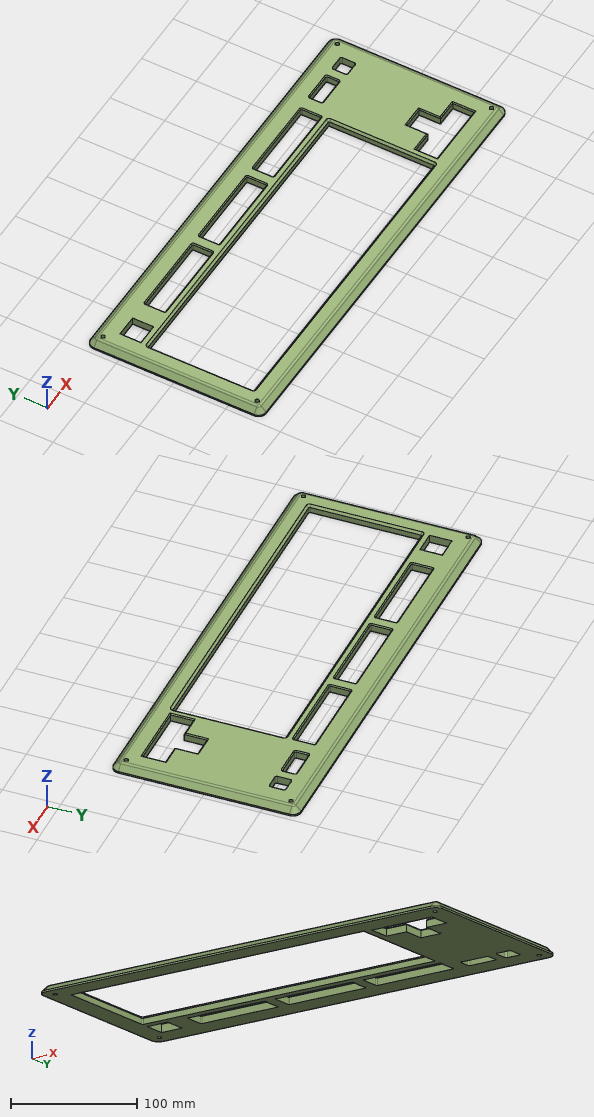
import cadquery as cq

LENGTH = 390.5
WIDTH = 160.5
THICKNESS = 7.0
RIM_HEIGHT = 1.5
CORNER_RADIUS = 7.0
TOP_EDGE_RADIUS = 3.0
SLOPE = THICKNESS - RIM_HEIGHT

SCREW_DIAMETER = 3.4
SCREW_INSET = 9.8

KEYS_LEFT = -176.0
MAIN_COLUMNS = 15
MAIN_ROWS = 5
MAIN_LENGTH = 285.8
KEY = MAIN_LENGTH / MAIN_COLUMNS
MAIN_EXTRA_HEIGHT = 1.0
MAIN_CENTER_Y = -13.5
OPENING_CORNER_RADIUS = 0.8
FUNCTION_ROW_Y = 50.8
ESCAPE_SIZE = (20.0, 19.0)
FUNCTION_GROUP_TRIM = 0.8
FUNCTION_GROUP_KEYS = 4
FUNCTION_GROUP_STARTS = (2, 6.5, 11)
ARROW_KEY = 19.5
ARROW_CENTER_X = 146.0
ARROW_BOTTOM_Y = -60.5

DISPLAY_SIZE = (27.0, 11.7)
DISPLAY_CENTER = (137.5, 54.5)
DISPLAY_CORNER_RADIUS = 1.0
KNOB_SIZE = (14.5, 14.0)
KNOB_CENTER = (167.0, 54.0)
KNOB_CORNER_RADIUS = 1.5

CHAMFER_ANGLE = 45
MAIN_CHAMFER = 2.0
SMALL_CHAMFER = 0.98


def make_plate():
    """Rounded plate whose border slopes up to a softened top face."""
    blank = cq.Workplane("XY").box(LENGTH, WIDTH, THICKNESS, centered=(True, True, False))
    sloped = blank.edges("|Z").fillet(CORNER_RADIUS).faces(">Z").chamfer(SLOPE)
    return sloped.faces(">Z").edges().fillet(TOP_EDGE_RADIUS)


def rectangle_cutter(center, size, corner_radius=0.0):
    cutter = cq.Workplane("XY").center(*center).rect(*size).extrude(THICKNESS)
    if corner_radius > 0:
        cutter = cutter.edges("|Z").fillet(corner_radius)
    return cutter


def arrow_cutter():
    """Inverted T: three keys wide at the bottom, one key above the middle."""
    middle_y = ARROW_BOTTOM_Y + ARROW_KEY
    bottom_row = rectangle_cutter((ARROW_CENTER_X, middle_y - ARROW_KEY / 2), (3 * ARROW_KEY, ARROW_KEY))
    column = rectangle_cutter((ARROW_CENTER_X, middle_y), (ARROW_KEY, 2 * ARROW_KEY))
    return bottom_row.union(column).clean()


def flared(cutter, chamfer):
    """Widen a cutter at the top face so that it also cuts a 45 degree chamfer."""
    wide_outline = cutter.faces(">Z").wires().toPending().offset2D(chamfer, "intersection")
    flare = wide_outline.extrude(-chamfer, taper=CHAMFER_ANGLE)
    return cutter.union(flare)


def screw_cutters():
    spacing = (LENGTH - 2 * SCREW_INSET, WIDTH - 2 * SCREW_INSET)
    corners = cq.Workplane("XY").rect(*spacing, forConstruction=True).vertices()
    return corners.circle(SCREW_DIAMETER / 2).extrude(THICKNESS)


result = make_plate().cut(screw_cutters())

main_size = (MAIN_LENGTH, MAIN_ROWS * KEY + MAIN_EXTRA_HEIGHT)
main_center = (KEYS_LEFT + main_size[0] / 2, MAIN_CENTER_Y)
main_opening = rectangle_cutter(main_center, main_size, OPENING_CORNER_RADIUS)
result = result.cut(flared(main_opening, MAIN_CHAMFER))

escape_center = (KEYS_LEFT + ESCAPE_SIZE[0] / 2, FUNCTION_ROW_Y)
result = result.cut(rectangle_cutter(escape_center, ESCAPE_SIZE))

group_size = (FUNCTION_GROUP_KEYS * KEY - FUNCTION_GROUP_TRIM, KEY - FUNCTION_GROUP_TRIM)
for start in FUNCTION_GROUP_STARTS:
    group_right = KEYS_LEFT + (start + FUNCTION_GROUP_KEYS) * KEY
    group_center = (group_right - group_size[0] / 2, FUNCTION_ROW_Y)
    group = rectangle_cutter(group_center, group_size, OPENING_CORNER_RADIUS)
    result = result.cut(flared(group, SMALL_CHAMFER))

result = result.cut(flared(arrow_cutter(), SMALL_CHAMFER))
display = rectangle_cutter(DISPLAY_CENTER, DISPLAY_SIZE, DISPLAY_CORNER_RADIUS)
result = result.cut(flared(display, SMALL_CHAMFER))
result = result.cut(rectangle_cutter(KNOB_CENTER, KNOB_SIZE, KNOB_CORNER_RADIUS))